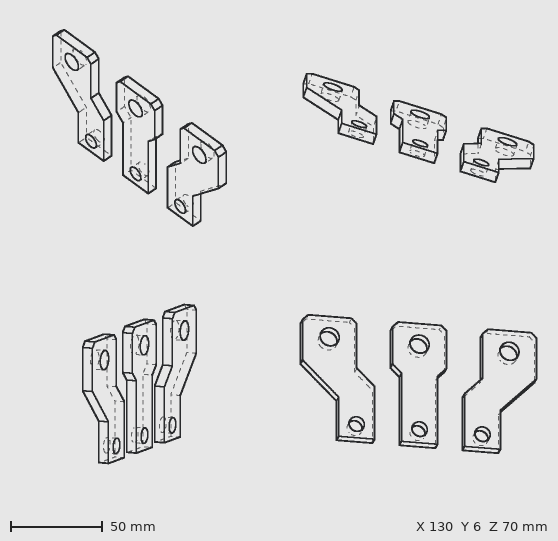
import cadquery as cq

overall_length = 130.0
height = 70.0
thickness = 6.0
head_width = 30.0
stem_width = 20.0
corner_chamfer = 3.0

head_hole_diameter = 10.5
stem_hole_diameter = 8.5
head_hole_drop = 12.0
stem_hole_height = 8.0

stem_offset = 20.0
outer_bend_top = 43.0
inner_bend_top = 41.0

shoulder_top = 45.0

half_length = overall_length / 2
half_head = head_width / 2
half_stem = stem_width / 2
shoulder_drop = half_head - half_stem
outer_bend_bottom = outer_bend_top - stem_offset
stem_far_edge = stem_offset + stem_width
inner_bend_bottom = inner_bend_top - (stem_far_edge - head_width)
head_hole_height = height - head_hole_drop
chamfer_bottom = height - corner_chamfer


def extrude_plate(outline, head_hole_x, stem_hole_x):
    """Extrude an XZ outline, centred on Y = 0, and drill its two holes."""
    back_face = cq.Workplane("XZ", origin=(0, thickness / 2, 0))
    plate = back_face.polyline(outline).close().extrude(thickness)
    holes = (
        (head_hole_x, head_hole_height, head_hole_diameter),
        (stem_hole_x, stem_hole_height, stem_hole_diameter),
    )
    for x, z, diameter in holes:
        drill = back_face.center(x, z).circle(diameter / 2).extrude(thickness)
        plate = plate.cut(drill)
    return plate


def make_offset_plate(side):
    """Make an outer plate; side is -1 for the -X end and +1 for the +X end."""
    def place(inward):
        return side * (half_length - inward)

    profile = [
        (0, outer_bend_top),
        (0, chamfer_bottom),
        (corner_chamfer, height),
        (head_width - corner_chamfer, height),
        (head_width, chamfer_bottom),
        (head_width, inner_bend_top),
        (stem_far_edge, inner_bend_bottom),
        (stem_far_edge, 0),
        (stem_offset, 0),
        (stem_offset, outer_bend_bottom),
    ]
    outline = [(place(inward), z) for inward, z in profile]
    return extrude_plate(outline, place(half_head), place(stem_offset + half_stem))


def make_straight_plate():
    """Make the symmetric middle plate."""
    right_side = [
        (half_stem, 0),
        (half_stem, shoulder_top - shoulder_drop),
        (half_head, shoulder_top),
        (half_head, chamfer_bottom),
        (half_head - corner_chamfer, height),
    ]
    left_side = [(-x, z) for x, z in reversed(right_side)]
    return extrude_plate(right_side + left_side, 0, 0)


offset_plates = [make_offset_plate(side) for side in (-1, 1)]
straight_plate = make_straight_plate()

result = cq.Compound.makeCompound(
    [straight_plate.val(), *[plate.val() for plate in offset_plates]]
)